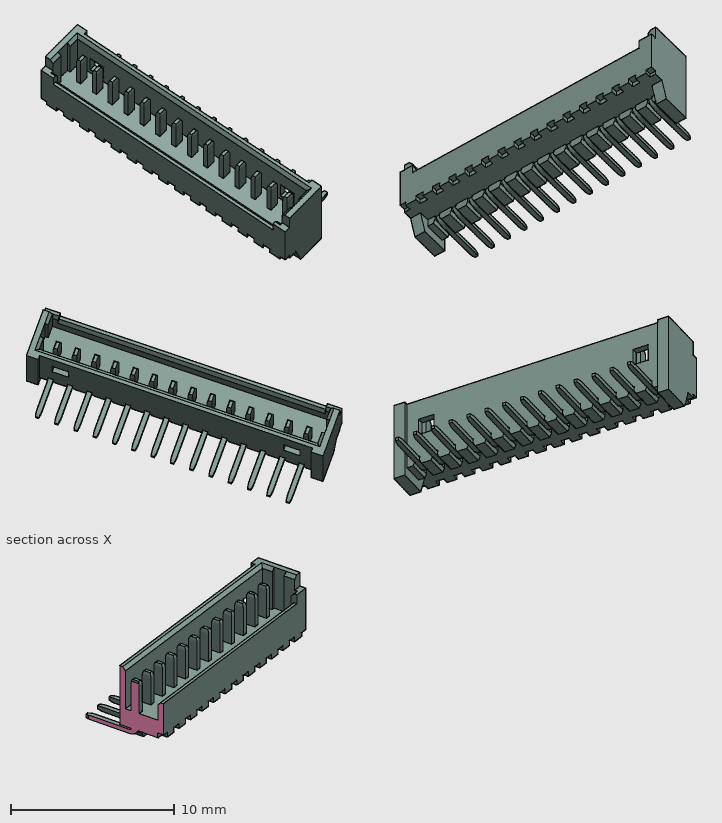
import cadquery as cq
import math


length = 19.25
height = 5.5
wall_back = 3.25
foot_back = 3.52
body_bottom = 1.29
rib_bottom = 0.71
half_length = length / 2

foot_width = 0.77
foot_front_top = 1.05
foot_front_bottom = 1.5

front_wall = 0.42
end_step_top = 4.52
front_wall_top = 3.89
front_opening_inset = 0.96

cavity_floor = 2.58
cavity_inset = 0.6
cavity_back = 2.81
lead_in_width = 0.21
lead_in_height = 0.23
end_slot_inset = cavity_inset - lead_in_width
end_slot_front = 1.2
end_slot_back = 2.08

window_width = 1.05
window_bottom = 2.93
window_top = 4.08

pin_count = 14
pin_pitch = 1.25
pin_width = 0.33
pin_front = 1.79
pin_depth = 0.64
pin_top = 4.81
pin_tip = 0.29
lead_bottom = 0.89
lead_end = 5.8
lead_tip = 0.5
bend_radius = 0.77
tip_inset = 0.05
blade_inset = 0.1

notch_width = 0.54
notch_top = 1.64
corner_notch_size = 0.42
corner_notch_top = 1.55
groove_mouth = 0.58
groove_flare_height = 0.27

pin_places = [(i - (pin_count - 1) / 2) * pin_pitch for i in range(pin_count)]


def box(x0, x1, y0, y1, z0, z1):
    """Axis-aligned block between two corners."""
    return cq.Workplane("XY").box(x1 - x0, y1 - y0, z1 - z0, centered=False).translate((x0, y0, z0))


def side_profile(points, x0, x1):
    """Extrude a (Y, Z) outline from x0 to x1."""
    return cq.Workplane("YZ").polyline(points).close().extrude(x1 - x0).translate((x0, 0, 0))


def make_shell():
    """Stepped housing block with its two end feet."""
    shell = box(-half_length, half_length, 0, wall_back, body_bottom, height)
    shell = shell.union(box(-half_length, half_length, pin_front, wall_back, rib_bottom, body_bottom))
    foot_outline = [
        (foot_front_bottom, 0),
        (foot_back, 0),
        (foot_back, height),
        (foot_front_top, height),
        (foot_front_top, body_bottom),
    ]
    for x0 in (-half_length, half_length - foot_width):
        shell = shell.union(side_profile(foot_outline, x0, x0 + foot_width))
    shell = shell.cut(box(-half_length, half_length, 0, front_wall, end_step_top, height))
    opening_half = half_length - front_opening_inset
    return shell.cut(box(-opening_half, opening_half, 0, front_wall, front_wall_top, height))


def front_lead_in(rim, half_width):
    """Wedge that slopes the inner edge of the front wall where its rim stands at height `rim`."""
    wedge_outline = [
        (front_wall, rim - lead_in_height),
        (front_wall, rim),
        (front_wall - lead_in_width, rim),
    ]
    return side_profile(wedge_outline, -half_width, half_width)


def make_cavity():
    """Cavity with lead-in slopes at front, back and ends, plus a slot in each end wall."""
    half_cavity = half_length - cavity_inset
    lead_in_bottom = height - lead_in_height
    outline = [
        (front_wall, cavity_floor),
        (cavity_back, cavity_floor),
        (cavity_back, lead_in_bottom),
        (cavity_back + lead_in_width, height),
        (front_wall, height),
    ]
    cavity = side_profile(outline, -half_cavity, half_cavity)
    cavity = cavity.union(front_lead_in(end_step_top, half_cavity))
    cavity = cavity.union(front_lead_in(front_wall_top, half_length - front_opening_inset))
    half_mouth = half_cavity + lead_in_width
    mouth_outline = [
        (-half_cavity, lead_in_bottom),
        (half_cavity, lead_in_bottom),
        (half_mouth, height),
        (-half_mouth, height),
    ]
    mouth_back = cavity_back + lead_in_width
    end_lead_in = cq.Workplane("XZ").polyline(mouth_outline).close().extrude(-mouth_back)
    depth_outline = [
        (front_wall, lead_in_bottom),
        (cavity_back, lead_in_bottom),
        (mouth_back, height),
        (front_wall, height),
    ]
    end_lead_in = end_lead_in.intersect(side_profile(depth_outline, -half_mouth, half_mouth))
    slot_half = half_length - end_slot_inset
    end_slots = box(-slot_half, slot_half, end_slot_front, end_slot_back, cavity_floor, height)
    return cavity.union(end_lead_in).union(end_slots)


def make_windows():
    """Two back-wall windows, each between the last two pins of one end."""
    windows = cq.Workplane("XY")
    window_place = pin_places[-1] - pin_pitch / 2
    for x in (-window_place, window_place):
        x0 = x - window_width / 2
        windows = windows.add(box(x0, x0 + window_width, cavity_back, wall_back, window_bottom, window_top))
    return windows.combine()


def make_underside_notches():
    """Pin notches and corner notches in the lower front edge, and flared grooves under the leads."""
    notches = cq.Workplane("XY")
    flare_top = rib_bottom + groove_flare_height
    groove_outline = [
        (-groove_mouth / 2, rib_bottom),
        (groove_mouth / 2, rib_bottom),
        (pin_width / 2, flare_top),
        (pin_width / 2, body_bottom),
        (-pin_width / 2, body_bottom),
        (-pin_width / 2, flare_top),
    ]
    groove = cq.Workplane("XZ").polyline(groove_outline).close().extrude(-wall_back)
    notch = box(-notch_width / 2, notch_width / 2, 0, front_wall, body_bottom, notch_top)
    for x in pin_places:
        notches = notches.add(notch.translate((x, 0, 0)))
        notches = notches.add(groove.translate((x, 0, 0)))
    for x0 in (-half_length, half_length - corner_notch_size):
        corner = box(x0, x0 + corner_notch_size, 0, corner_notch_size, body_bottom, corner_notch_top)
        notches = notches.add(corner)
    return notches.combine()


def bullet(plane, width, end, tip_length, inset, thickness):
    """Bar from the plane origin to `end`, its two sides curving in by `inset` over the tip."""
    half = width / 2
    radius = (tip_length**2 + inset**2) / (2 * inset)
    mid_sag = radius - math.sqrt(radius**2 - (tip_length / 2) ** 2)
    shoulder = end - tip_length
    middle = end - tip_length / 2
    return (
        cq.Workplane(plane)
        .moveTo(-half, 0)
        .lineTo(-half, shoulder)
        .threePointArc((mid_sag - half, middle), (inset - half, end))
        .lineTo(half - inset, end)
        .threePointArc((half - mid_sag, middle), (half, shoulder))
        .lineTo(half, 0)
        .close()
        .extrude(thickness, both=True)
    )


def make_pin():
    """Bent pin at X = 0: a deep upright blade and a square lead, rounded at the outer bend."""
    lead_middle = lead_bottom + pin_width / 2
    blade_origin = (0, pin_front + pin_depth / 2, lead_bottom)
    lead_origin = (0, pin_front, lead_middle)
    blade_length = pin_top - lead_bottom
    lead_length = lead_end - pin_front
    across_x = cq.Plane(blade_origin, xDir=(1, 0, 0), normal=(0, -1, 0))
    across_y = cq.Plane(blade_origin, xDir=(0, 1, 0), normal=(1, 0, 0))
    blade = bullet(across_x, pin_width, blade_length, pin_tip, tip_inset, pin_depth)
    blade = blade.intersect(bullet(across_y, pin_depth, blade_length, pin_tip, blade_inset, pin_width))
    flat = cq.Plane(lead_origin, xDir=(1, 0, 0), normal=(0, 0, 1))
    upright = cq.Plane(lead_origin, xDir=(0, 0, 1), normal=(-1, 0, 0))
    lead = bullet(flat, pin_width, lead_length, lead_tip, tip_inset, pin_width)
    lead = lead.intersect(bullet(upright, pin_width, lead_length, lead_tip, tip_inset, pin_width))
    bend_corner = cq.selectors.NearestToPointSelector((0, pin_front, lead_bottom))
    return blade.union(lead).edges(bend_corner).fillet(bend_radius)


housing = make_shell().cut(make_cavity()).cut(make_windows()).cut(make_underside_notches())
pin = make_pin()
for pin_x in pin_places:
    housing = housing.union(pin.translate((pin_x, 0, 0)))
result = housing